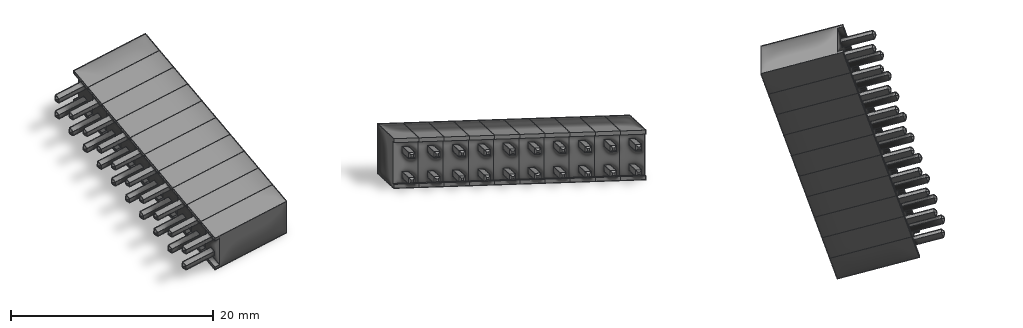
import cadquery as cq

MODULE_COUNT = 10
ROW_LENGTH = 25.4
HEIGHT = 5.0
HOUSING_DEPTH = 8.5
OVERALL_DEPTH = 11.5

RAIL_THICKNESS = 0.4
RECESS_DEPTH = 0.55

PIN_WIDTH = 0.64
PIN_TIP_WIDTH = 0.23
PIN_TIP_LENGTH = 0.2

PITCH = ROW_LENGTH / MODULE_COUNT
PIN_SPACING = PITCH
PIN_LENGTH = OVERALL_DEPTH - HOUSING_DEPTH + RECESS_DEPTH
PIN_SHANK_LENGTH = PIN_LENGTH - PIN_TIP_LENGTH



def make_housing(center_x):
    """Block with a recessed front face between an upper and a lower rail."""
    block = cq.Workplane("XY").box(PITCH, HOUSING_DEPTH, HEIGHT).translate((center_x, HOUSING_DEPTH / 2, 0))
    recess_height = HEIGHT - 2 * RAIL_THICKNESS
    recess = cq.Workplane("XY").box(PITCH, RECESS_DEPTH, recess_height).translate((center_x, RECESS_DEPTH / 2, 0))
    return block.cut(recess)


def make_pin(center_x, center_z):
    """Square pin standing on the recessed face, with a tapered, flat-ended tip."""
    pin_face = cq.Workplane("XZ", origin=(center_x, RECESS_DEPTH, center_z))
    shank = pin_face.rect(PIN_WIDTH, PIN_WIDTH).extrude(PIN_SHANK_LENGTH)
    tip = (
        pin_face.workplane(offset=PIN_SHANK_LENGTH)
        .rect(PIN_WIDTH, PIN_WIDTH)
        .workplane(offset=PIN_TIP_LENGTH)
        .rect(PIN_TIP_WIDTH, PIN_TIP_WIDTH)
        .loft(ruled=True)
    )
    return shank.union(tip)


def make_module(center_x):
    """One connector module: a housing and its two pins as a single solid."""
    module = make_housing(center_x)
    for center_z in (-PIN_SPACING / 2, PIN_SPACING / 2):
        module = module.union(make_pin(center_x, center_z))
    return module


modules = []
for index in range(MODULE_COUNT):
    module_x = (index + 0.5) * PITCH - ROW_LENGTH / 2
    modules.append(make_module(module_x).solids().val())

result = cq.Compound.makeCompound(modules)